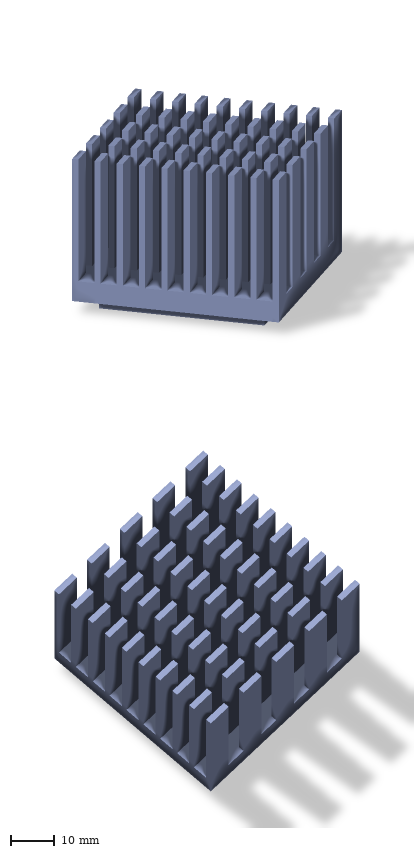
import cadquery as cq

side = 50.0
chip_side = 40.0
chip_height = 3.0
plate_height = 3.5
sink_base_height = 1.5
fin_height = 30.0

fin_columns = 10
fin_rows = 5
fin_thickness = 1.5
fin_length = 6.0
column_pitch = (side - fin_thickness) / (fin_columns - 1)
row_pitch = (side - fin_length) / (fin_rows - 1)

plate_bottom = chip_height
sink_bottom = plate_bottom + plate_height
fin_bottom = sink_bottom + sink_base_height


def square_slab(width, height, bottom):
    """Square block centred on the Z axis, standing on the given level."""
    return cq.Workplane("XY").workplane(offset=bottom).rect(width, width).extrude(height)


def make_heat_sink():
    """Thin base carrying a regular grid of upright fins."""
    base = square_slab(side, sink_base_height, sink_bottom)
    return (
        base.faces(">Z")
        .workplane(origin=(0, 0, fin_bottom))
        .rarray(column_pitch, row_pitch, fin_columns, fin_rows)
        .rect(fin_thickness, fin_length)
        .extrude(fin_height)
    )


chip = square_slab(chip_side, chip_height, 0)
base_plate = square_slab(side, plate_height, plate_bottom)
heat_sink = make_heat_sink()

result = cq.Compound.makeCompound([chip.val(), base_plate.val(), heat_sink.val()])